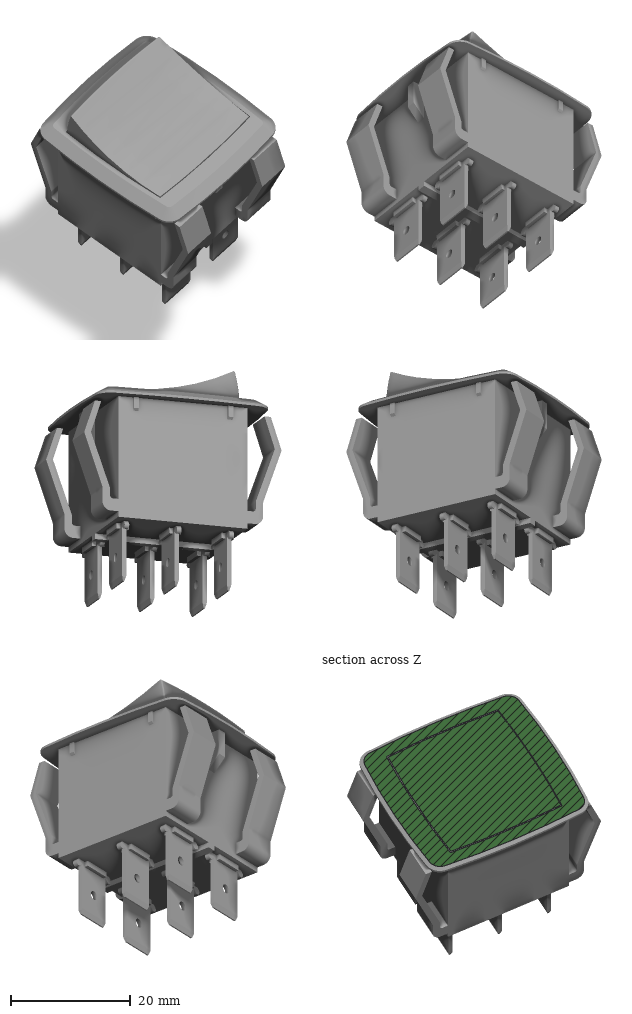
import cadquery as cq
import math


body_length = 22.86
body_width = 24.5
body_height = 20.85
standoff_drop = 0.95
half_length = body_length / 2
half_width = body_width / 2

bezel_half_length = 15.75
bezel_half_width = 14.59
bezel_end_sag = 0.80
bezel_side_sag = 0.71
bezel_corner_radius = 2.7
rim_height = 0.41
bezel_height = 1.64
border_inset = 2.07
crown_half_length = bezel_half_length - border_inset
crown_half_width = bezel_half_width - border_inset
crown_end_sag = 0.60
crown_side_sag = 0.54
crown_corner_radius = 0.8

opening_half_length = 10.95
opening_half_width = 11.74
rocker_gap = 0.15
rocker_end_sag = 0.45
rocker_side_sag = 0.36
opening_depth = 1.0
opening_floor = bezel_height - opening_depth
rocker_right = opening_half_length - rocker_gap
rocker_half_width = opening_half_width - rocker_gap
rocker_side_draft = 0.1
rocker_low_height = 1.72
rocker_peak_height = 6.79
rocker_loft_top = 7.2
raised_end_base_x = -10.93
raised_end_top_x = -9.87
raised_end_bulge = 0.23
rocker_peak_x = -9.96
dish_end_x = 9.67
rocker_edge_radius = 0.25

side_rib_x = 8.36
side_rib_width = 0.88
side_rib_depth = 0.38
side_rib_height = 2.28

web_thickness = 1.52
gusset_reach = 2.27
gusset_straight = 4.65

clip_length = 5.78
clip_top_z = -1.15
clip_top_outer_x = 15.59
clip_top_inner_x = 14.47
clip_knee_outer_x = 17.5
clip_knee_outer_z = -6.79
clip_knee_inner_x = 16.3
clip_knee_inner_z = -6.65
clip_foot_outer_x = 14.24
clip_foot_inner_x = 12.92
clip_bend_z = -16.0
clip_floor_z = -17.76
clip_bottom_z = -19.9
clip_outer_radius = 1.46
clip_inner_radius = 0.5
clip_bend_radius = 0.8

terminal_pitch_x = 9.3
terminal_offset_y = 6.0
terminal_width = 6.3
terminal_thickness = 0.8
terminal_bottom_z = -30.9
tip_bevel_height = 0.96
tip_thickness = 0.25
tip_corner_height = 0.65
tip_corner_inset = 0.25
terminal_hole_diameter = 1.58
terminal_hole_z = -26.17
boss_length = 2.2
middle_boss_draft = 0.12
boss_width = 4.96
tab_radius = 0.56
tab_reach = 4.0
tab_center_z = -21.6
tab_length = 2.2
tab_angle = 45
boss_bottom_z = -body_height - standoff_drop
terminal_root_z = -body_height + terminal_thickness


def block(x_min, x_max, y_min, y_max, z_min, z_max):
    """Axis-aligned box given by its limits."""
    box = cq.Workplane("XY").box(x_max - x_min, y_max - y_min, z_max - z_min, centered=False)
    return box.translate((x_min, y_min, z_min))


def bulged_outline(workplane, x_min, x_max, half_y, end_sag, side_sag):
    """Closed four-sided outline whose sides are shallow arcs bowed outward."""
    x_mid = (x_min + x_max) / 2
    corner_left = x_min + end_sag
    corner_right = x_max - end_sag
    corner_y = half_y - side_sag
    return (
        workplane.moveTo(corner_left, -corner_y)
        .threePointArc((x_mid, -half_y), (corner_right, -corner_y))
        .threePointArc((x_max, 0), (corner_right, corner_y))
        .threePointArc((x_mid, half_y), (corner_left, corner_y))
        .threePointArc((x_min, 0), (corner_left, -corner_y))
        .close()
    )


def make_bezel():
    """Rim and sloped border with the rocker opening sunk into the top."""
    rim = bulged_outline(
        cq.Workplane("XY"), -bezel_half_length, bezel_half_length,
        bezel_half_width, bezel_end_sag, bezel_side_sag,
    ).extrude(rim_height)
    rim = rim.edges("|Z").fillet(bezel_corner_radius)
    crown = bulged_outline(
        cq.Workplane("XY"), -crown_half_length, crown_half_length,
        crown_half_width, crown_end_sag, crown_side_sag,
    ).extrude(bezel_height)
    crown = crown.edges("|Z").fillet(crown_corner_radius)
    outer_wire = rim.faces(">Z").wires().val()
    crown_wire = crown.faces(">Z").wires().val()
    border = cq.Workplane(obj=cq.Solid.makeLoft([outer_wire, crown_wire], True))
    opening = bulged_outline(
        cq.Workplane("XY").workplane(offset=opening_floor), -opening_half_length,
        opening_half_length, opening_half_width, rocker_end_sag, rocker_side_sag,
    ).extrude(opening_depth)
    return rim.union(border).cut(opening)


def make_rocker():
    """Rocker tilted toward -X: arched raised end and a dished top surface."""
    mid_z = (opening_floor + rocker_loft_top) / 2
    mid_x = (raised_end_base_x + raised_end_top_x) / 2 - raised_end_bulge
    sections = (
        (opening_floor, raised_end_base_x, 0.0),
        (mid_z, mid_x, rocker_side_draft / 2),
        (rocker_loft_top, raised_end_top_x, rocker_side_draft),
    )
    wires = []
    for z, left_x, draft in sections:
        outline = bulged_outline(
            cq.Workplane("XY").workplane(offset=z), left_x, rocker_right,
            rocker_half_width - draft, rocker_end_sag, rocker_side_sag,
        )
        wires.append(outline.wire().val())
    blank = cq.Workplane(obj=cq.Solid.makeLoft(wires))

    dish_run = dish_end_x - rocker_peak_x
    dish_rise = rocker_peak_height - rocker_low_height
    dish_radius = (dish_run**2 + dish_rise**2) / (2 * dish_rise)
    dish_center_z = rocker_low_height + dish_radius

    def dish_height(x):
        return dish_center_z - math.sqrt(dish_radius**2 - (dish_end_x - x) ** 2)

    far_left = -bezel_half_length
    dish_mid_x = (far_left + dish_end_x) / 2
    profile = (
        cq.Workplane("XZ")
        .moveTo(far_left, opening_floor)
        .lineTo(far_left, dish_height(far_left))
        .threePointArc((dish_mid_x, dish_height(dish_mid_x)), (dish_end_x, rocker_low_height))
        .lineTo(bezel_half_length, rocker_low_height)
        .lineTo(bezel_half_length, opening_floor)
        .close()
        .extrude(bezel_half_width, both=True)
    )
    rocker = blank.intersect(profile)
    return rocker.faces(">Z").edges().fillet(rocker_edge_radius)


def make_side_rib():
    """Rib on the -Y face with a 45 degree lower end."""
    outer_y = -half_width - side_rib_depth
    return (
        cq.Workplane("YZ")
        .polyline([
            (-half_width, 0),
            (outer_y, 0),
            (outer_y, side_rib_depth - side_rib_height),
            (-half_width, -side_rib_height),
        ])
        .close()
        .extrude(side_rib_width / 2, both=True)
    )


def make_gussets():
    """Central web under the bezel, reaching past both ends of the housing."""
    outer_x = half_length + gusset_reach
    toe_z = -gusset_straight - gusset_reach
    return (
        cq.Workplane("XZ")
        .polyline([
            (-outer_x, 0),
            (outer_x, 0),
            (outer_x, -gusset_straight),
            (half_length, toe_z),
            (-half_length, toe_z),
            (-outer_x, -gusset_straight),
        ])
        .close()
        .extrude(web_thickness / 2, both=True)
    )


def make_clip():
    """Bent spring clip on the +X end, flush with the -Y face."""
    diagonal = math.sqrt(0.5)
    outer_arc_x = clip_foot_outer_x - clip_outer_radius
    outer_arc_z = clip_bottom_z + clip_outer_radius
    inner_arc_x = clip_foot_inner_x - clip_inner_radius
    inner_arc_z = clip_floor_z + clip_inner_radius
    outer_arc_mid = (outer_arc_x + clip_outer_radius * diagonal, outer_arc_z - clip_outer_radius * diagonal)
    inner_arc_mid = (inner_arc_x + clip_inner_radius * diagonal, inner_arc_z - clip_inner_radius * diagonal)
    profile = (
        cq.Workplane("XZ", origin=(0, -half_width, 0))
        .moveTo(0, clip_floor_z)
        .lineTo(inner_arc_x, clip_floor_z)
        .threePointArc(inner_arc_mid, (clip_foot_inner_x, inner_arc_z))
        .lineTo(clip_foot_inner_x, clip_bend_z)
        .lineTo(clip_knee_inner_x, clip_knee_inner_z)
        .lineTo(clip_top_inner_x, clip_top_z)
        .lineTo(clip_top_outer_x, clip_top_z)
        .lineTo(clip_knee_outer_x, clip_knee_outer_z)
        .lineTo(clip_foot_outer_x, clip_bend_z)
        .lineTo(clip_foot_outer_x, outer_arc_z)
        .threePointArc(outer_arc_mid, (outer_arc_x, clip_bottom_z))
        .lineTo(0, clip_bottom_z)
        .close()
    )
    clip = profile.extrude(-clip_length)
    for bend_x in (clip_foot_inner_x, clip_foot_outer_x):
        bend_point = (bend_x, -half_width + clip_length / 2, clip_bend_z)
        clip = clip.edges(cq.selectors.NearestToPointSelector(bend_point)).fillet(clip_bend_radius)
    return clip


def make_terminal():
    """Blade terminal centred on X = Y = 0, with its two angled tabs."""
    half_blade = terminal_width / 2
    half_thick = terminal_thickness / 2
    half_tip = tip_thickness / 2
    corner_z = terminal_bottom_z + tip_corner_height
    bevel_z = terminal_bottom_z + tip_bevel_height
    tip_y = half_blade - tip_corner_inset

    blade = (
        cq.Workplane("YZ")
        .polyline([
            (-half_blade, terminal_root_z),
            (-half_blade, corner_z),
            (-tip_y, terminal_bottom_z),
            (tip_y, terminal_bottom_z),
            (half_blade, corner_z),
            (half_blade, terminal_root_z),
        ])
        .close()
        .extrude(half_thick, both=True)
    )
    edge_profile = (
        cq.Workplane("XZ")
        .polyline([
            (-half_thick, terminal_root_z),
            (-half_thick, bevel_z),
            (-half_tip, terminal_bottom_z),
            (half_tip, terminal_bottom_z),
            (half_thick, bevel_z),
            (half_thick, terminal_root_z),
        ])
        .close()
        .extrude(half_blade, both=True)
    )
    hole = (
        cq.Workplane("YZ")
        .center(0, terminal_hole_z)
        .circle(terminal_hole_diameter / 2)
        .extrude(terminal_thickness, both=True)
    )
    terminal = blade.intersect(edge_profile).cut(hole)

    for side in (-1, 1):
        tab = (
            cq.Workplane("YZ")
            .center(0, tab_length / 2)
            .slot2D(tab_length + 2 * tab_radius, 2 * tab_radius, angle=90)
            .extrude(half_thick, both=True)
            .rotate((0, 0, 0), (1, 0, 0), side * tab_angle)
            .translate((0, side * tab_reach, tab_center_z))
        )
        terminal = terminal.union(tab)
    return terminal


def make_boss(draft):
    """Boss around a terminal root, its ends leaning in by the draft at the bottom."""
    half_top = boss_length / 2
    half_bottom = half_top - draft
    return (
        cq.Workplane("XZ")
        .polyline([
            (-half_top, -body_height),
            (half_top, -body_height),
            (half_bottom, boss_bottom_z),
            (-half_bottom, boss_bottom_z),
        ])
        .close()
        .extrude(boss_width / 2, both=True)
    )



result = block(-half_length, half_length, -half_width, half_width, -body_height, rim_height)
result = result.union(make_bezel())
result = result.union(make_gussets())

center_rail = block(
    -half_length, half_length, -web_thickness / 2, web_thickness / 2,
    boss_bottom_z, -body_height,
)
result = result.union(center_rail)

side_rib = make_side_rib()
for rib_x in (-side_rib_x, side_rib_x):
    placed_rib = side_rib.translate((rib_x, 0, 0))
    result = result.union(placed_rib).union(placed_rib.mirror("XZ"))

clip = make_clip()
clip_pair = clip.union(clip.mirror("XZ"))
result = result.union(clip_pair).union(clip_pair.mirror("YZ"))

terminal = make_terminal()
for column, boss_draft in ((-1, 0.0), (0, middle_boss_draft), (1, 0.0)):
    boss = make_boss(boss_draft)
    for row in (-1, 1):
        spot = (column * terminal_pitch_x, row * terminal_offset_y, 0)
        result = result.union(boss.translate(spot)).union(terminal.translate(spot))

result = result.union(make_rocker())